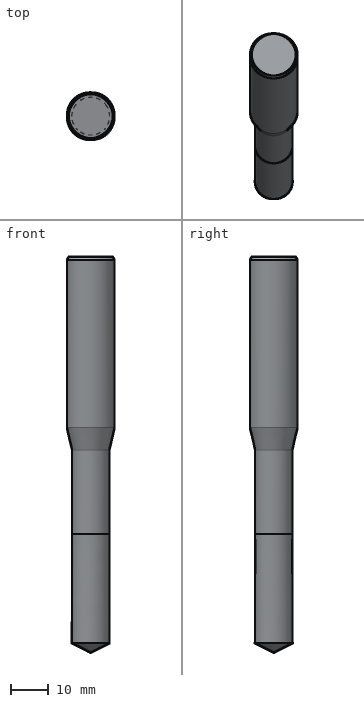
import cadquery as cq

total_length = 104.8
shank_diameter = 12.7
neck_diameter = 10.0
cutter_tip_diameter = 10.1
cutter_length = 31.4
point_height = 2.5
neck_length = 22.2
taper_length = 5.9
chamfer_height = 0.8
chamfer_width = 0.5

tip_z = -total_length / 2
cutter_top_z = tip_z + cutter_length
neck_top_z = cutter_top_z + neck_length
taper_top_z = neck_top_z + taper_length
shank_top_z = total_length / 2


def revolve_profile(points):
    """Turn a closed (radius, z) outline into a solid around the Z axis."""
    return cq.Workplane("XZ").polyline(points).close().revolve(360, (0, 0), (0, 1))


def make_holder():
    """Chamfered shank that tapers down to a straight neck."""
    shank_radius = shank_diameter / 2
    neck_radius = neck_diameter / 2
    return revolve_profile([
        (0, cutter_top_z),
        (neck_radius, cutter_top_z),
        (neck_radius, neck_top_z),
        (shank_radius, taper_top_z),
        (shank_radius, shank_top_z - chamfer_height),
        (shank_radius - chamfer_width, shank_top_z),
        (0, shank_top_z),
    ])


def make_cutter():
    """Back-tapered cutting end with a conical point, butted against the neck."""
    return revolve_profile([
        (0, tip_z),
        (cutter_tip_diameter / 2, tip_z + point_height),
        (neck_diameter / 2, cutter_top_z),
        (0, cutter_top_z),
    ])


holder = make_holder()
cutter = make_cutter()
result = cq.Compound.makeCompound([holder.val(), cutter.val()])